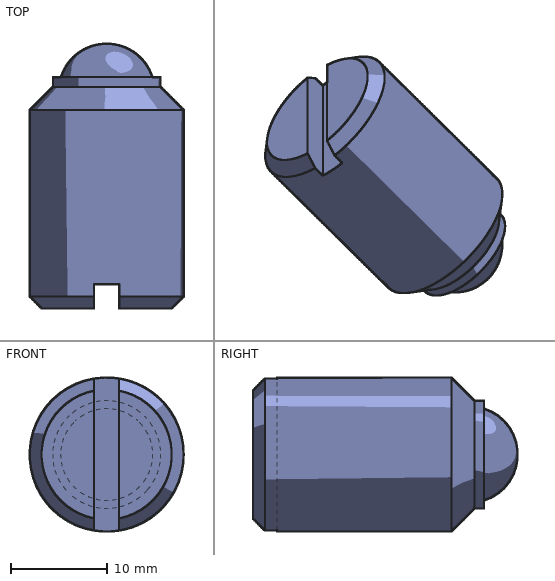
import cadquery as cq

body_diameter = 16.0
body_length = 24.0
slot_end_chamfer = 1.25
collar_diameter = 11.2
collar_length = 1.0
slot_width = 2.6
slot_depth = 2.5
ball_diameter = 10.0
ball_protrusion = 3.5

body_radius = body_diameter / 2
collar_radius = collar_diameter / 2
collar_start = body_length - collar_length
nose_cone_length = body_radius - collar_radius
nose_cone_start = collar_start - nose_cone_length
ball_center = body_length + ball_protrusion - ball_diameter / 2


def make_body():
    """Turned body: chamfered slotted end, cylinder, nose cone and collar."""
    half_profile = (
        cq.Workplane("XY")
        .moveTo(0, 0)
        .lineTo(body_radius - slot_end_chamfer, 0)
        .lineTo(body_radius, slot_end_chamfer)
        .lineTo(body_radius, nose_cone_start)
        .lineTo(collar_radius, collar_start)
        .lineTo(collar_radius, body_length)
        .lineTo(0, body_length)
        .close()
    )
    return half_profile.revolve(360, (0, 0, 0), (0, 1, 0))


def make_ball():
    """Ball seated in the collar, partly protruding."""
    return cq.Workplane("XY").sphere(ball_diameter / 2).translate((0, ball_center, 0))


def make_slot():
    """Screwdriver slot running along Z across the whole end face."""
    return cq.Workplane("XY").box(
        slot_width, slot_depth, body_diameter, centered=(True, False, True)
    )


result = make_body().union(make_ball()).cut(make_slot())